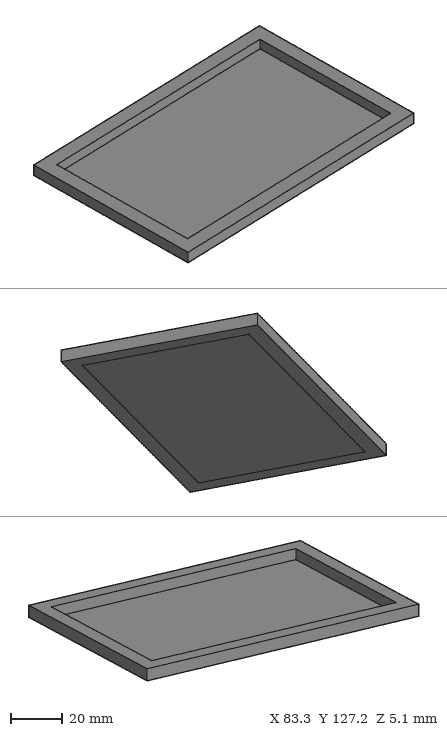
import cadquery as cq

frame_width = 83.3
frame_length = 127.2
frame_height = 5.1
border = 6.4

panel_thickness = 0.5

opening_width = frame_width - 2 * border
opening_length = frame_length - 2 * border


def block(width, length, height):
    """Block centred on the Z axis, standing on the XY plane."""
    return cq.Workplane("XY").box(width, length, height, centered=(True, True, False))


def make_frame():
    """Rectangular rim with a straight opening right through it."""
    opening = block(opening_width, opening_length, frame_height)
    return block(frame_width, frame_length, frame_height).cut(opening)


def make_panel():
    """Thin sheet fitted in the opening, flush with the underside of the frame."""
    return block(opening_width, opening_length, panel_thickness)


frame = make_frame()
panel = make_panel()

result = cq.Compound.makeCompound([frame.val(), panel.val()])